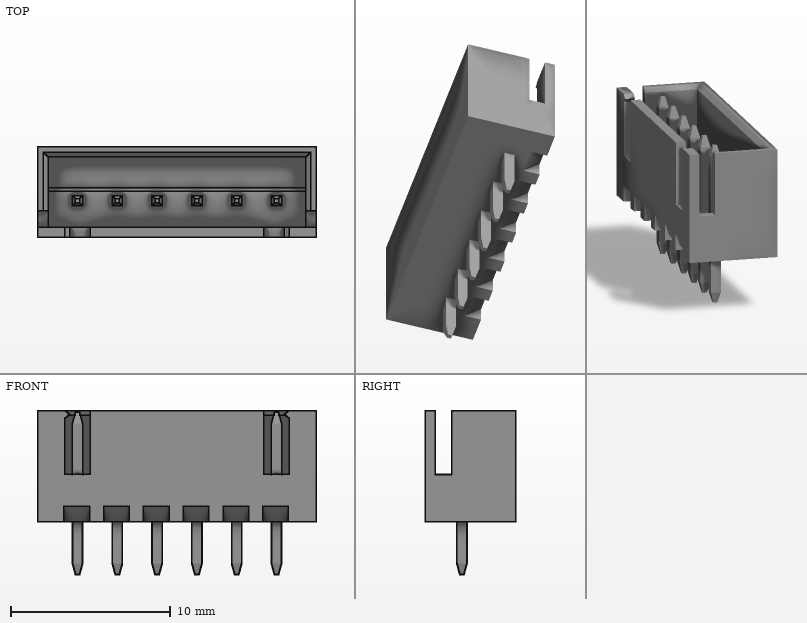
import cadquery as cq

LENGTH = 17.5
DEPTH = 5.7
HEIGHT = 7.0
WALL = 0.65
REAR_WALL = 0.65
RIM_CHAMFER = 0.3

SLOT_FLOOR = HEIGHT - 4.0
SHELF_FLOOR = SLOT_FLOOR - 1.0
TROUGH_FLOOR = SHELF_FLOOR - 0.7
RAMP_FRONT = 2.89
RAMP_RUN = 0.25

PIN_COUNT = 6
PIN_PITCH = LENGTH / (PIN_COUNT + 1)
PIN_WIDTH = 0.65
PIN_TIP_WIDTH = 0.26
PIN_TIP_LENGTH = 0.7
PIN_TOP = HEIGHT - 0.12
PIN_BOTTOM = -3.3
PIN_SETBACK = 2.31

FRONT_SLOT_WIDTH = 1.6
RIDGE_REACH = 0.3
RIDGE_HALF_HEIGHT = 0.25

SIDE_SLOT_WIDTH = 1.02

RELIEF_WIDTH = 1.61
RELIEF_HEIGHT = 1.0
RELIEF_DEPTH = 1.07
RELIEF_SHIFT = -0.05

FRONT = -DEPTH / 2
REAR = DEPTH / 2
PIN_Y = FRONT + PIN_SETBACK
CAVITY_LENGTH = LENGTH - 2 * WALL
PIN_XS = [(i - (PIN_COUNT - 1) / 2) * PIN_PITCH for i in range(PIN_COUNT)]


def box(x_min, x_max, y_min, y_max, z_min, z_max):
    size = (x_max - x_min, y_max - y_min, z_max - z_min)
    return cq.Workplane("XY").box(*size, centered=False).translate((x_min, y_min, z_min))


def prism_along_x(points, length, center_x):
    """Extrude a closed (y, z) outline along X, centred on center_x."""
    prism = cq.Workplane("YZ").polyline(points).close().extrude(length / 2, both=True)
    return prism.translate((center_x, 0, 0))


def cavity():
    ramp_top_y = FRONT + RAMP_FRONT
    ramp_bottom_y = ramp_top_y + RAMP_RUN
    front_y = FRONT + WALL
    rear_y = REAR - REAR_WALL
    outline = [
        (front_y, HEIGHT),
        (front_y, SHELF_FLOOR),
        (ramp_top_y, SHELF_FLOOR),
        (ramp_bottom_y, TROUGH_FLOOR),
        (rear_y, TROUGH_FLOOR),
        (rear_y, HEIGHT),
    ]
    return prism_along_x(outline, CAVITY_LENGTH, 0)


def rim_chamfer():
    """Flared cavity mouth that leaves the front wall square."""
    front_y = FRONT + WALL
    mouth_length = CAVITY_LENGTH + 2 * RIM_CHAMFER
    mouth_rear = REAR - REAR_WALL + RIM_CHAMFER
    mouth_depth = mouth_rear - front_y + RIM_CHAMFER
    flare = (
        cq.Workplane("XY", origin=(0, mouth_rear - mouth_depth / 2, HEIGHT))
        .rect(mouth_length, mouth_depth)
        .workplane(offset=-RIM_CHAMFER)
        .rect(CAVITY_LENGTH, mouth_depth - 2 * RIM_CHAMFER)
        .loft(ruled=True)
    )
    behind_front_wall = box(-LENGTH, LENGTH, front_y, REAR, 0, HEIGHT)
    return flare.intersect(behind_front_wall)


def side_slots():
    y_min = FRONT + WALL
    return box(-LENGTH, LENGTH, y_min, y_min + SIDE_SLOT_WIDTH, SLOT_FLOOR, HEIGHT)


def front_slot(pin_x):
    """Slot through the front wall; its outer edge carries a V-shaped ridge near the top."""
    outward = 1 if pin_x > 0 else -1
    inner_x = pin_x - outward * FRONT_SLOT_WIDTH / 2
    outer_x = pin_x + outward * FRONT_SLOT_WIDTH / 2
    outline = [
        (inner_x, SLOT_FLOOR),
        (outer_x, SLOT_FLOOR),
        (outer_x, HEIGHT - 2 * RIDGE_HALF_HEIGHT),
        (outer_x - outward * RIDGE_REACH, HEIGHT - RIDGE_HALF_HEIGHT),
        (outer_x, HEIGHT),
        (inner_x, HEIGHT),
    ]
    return cq.Workplane("XZ", origin=(0, FRONT + WALL, 0)).polyline(outline).close().extrude(WALL)


def relief(pin_x):
    outline = [(FRONT, 0), (FRONT, RELIEF_HEIGHT), (FRONT + RELIEF_DEPTH, 0)]
    return prism_along_x(outline, RELIEF_WIDTH, pin_x + RELIEF_SHIFT)


def pin_taper(pin_x, base_z, tip_z):
    return (
        cq.Workplane("XY", origin=(pin_x, PIN_Y, base_z))
        .rect(PIN_WIDTH, PIN_WIDTH)
        .workplane(offset=tip_z - base_z)
        .rect(PIN_TIP_WIDTH, PIN_TIP_WIDTH)
        .loft(ruled=True)
    )


def pin(pin_x):
    """Square post with a tapered tip at each end."""
    shank_bottom = PIN_BOTTOM + PIN_TIP_LENGTH
    shank_top = PIN_TOP - PIN_TIP_LENGTH
    half = PIN_WIDTH / 2
    shank = box(pin_x - half, pin_x + half, PIN_Y - half, PIN_Y + half, shank_bottom, shank_top)
    return (
        shank
        .union(pin_taper(pin_x, shank_top, PIN_TOP))
        .union(pin_taper(pin_x, shank_bottom, PIN_BOTTOM))
    )


housing = box(-LENGTH / 2, LENGTH / 2, FRONT, REAR, 0, HEIGHT)
housing = housing.cut(cavity()).cut(rim_chamfer()).cut(side_slots())
for end_pin_x in (PIN_XS[0], PIN_XS[-1]):
    housing = housing.cut(front_slot(end_pin_x))
for x in PIN_XS:
    housing = housing.cut(relief(x))

result = housing
for x in PIN_XS:
    result = result.union(pin(x))